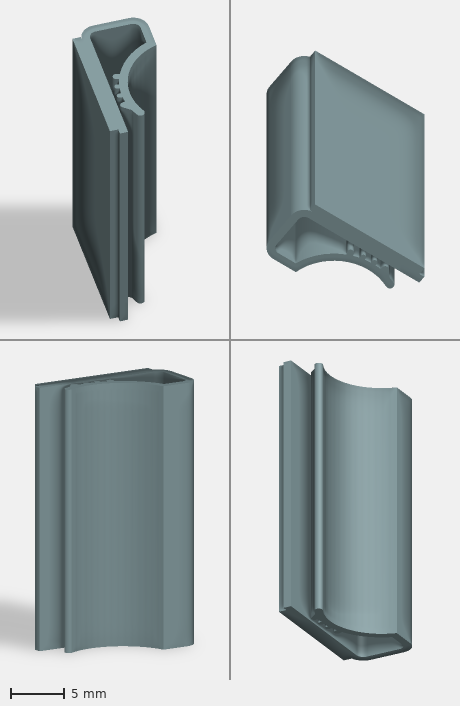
import cadquery as cq
import math

length = 25.4
base_width = 14.27
total_depth = 7.37
wall = 0.81
corner_radius = 1.52

pad_thickness = 0.81
pad_width = 12.6
pad_start = 1.12

clip_depth = total_depth - pad_thickness

arm_center_x = 9.5
arm_center_y = 7.95
arm_inner_radius = 5.55
arm_outer_radius = arm_inner_radius + wall
arm_middle_radius = arm_inner_radius + wall / 2
tip_angle = 26.7

large_rib_width = 0.65
large_rib_height = 0.64
small_rib_width = 0.53
small_rib_height = 0.48
left_rib_angle = -21.9
lead_rib_angle = 11.0
small_rib_angles = [-10.6, 0.0]
ramp_angle = 19.6


def arm_point(radius, angle):
    """Point at a radius and angle around the arm centre."""
    a = math.radians(angle)
    return (arm_center_x + radius * math.sin(a), arm_center_y - radius * math.cos(a))


def arm_angle_at(radius, y):
    """Angle at which an arm arc meets the level y, on the -X side."""
    return -math.degrees(math.acos((arm_center_y - y) / radius))


def make_channel():
    """U-shaped wall: base, back and short top flange leading into the arm."""
    inner_radius = corner_radius - wall
    inner_top = clip_depth - wall
    outer_root = arm_point(arm_inner_radius, arm_angle_at(arm_inner_radius, clip_depth))
    inner_root = arm_point(arm_outer_radius, arm_angle_at(arm_outer_radius, inner_top))
    return (
        cq.Workplane("XY")
        .moveTo(base_width, 0)
        .lineTo(corner_radius, 0)
        .radiusArc((0, corner_radius), corner_radius)
        .lineTo(0, clip_depth - corner_radius)
        .radiusArc((corner_radius, clip_depth), corner_radius)
        .lineTo(*outer_root)
        .lineTo(*inner_root)
        .lineTo(corner_radius, inner_top)
        .radiusArc((wall, inner_top - inner_radius), -inner_radius)
        .lineTo(wall, corner_radius)
        .radiusArc((corner_radius, wall), -inner_radius)
        .lineTo(base_width, wall)
        .close()
        .extrude(length)
    )


def make_arm():
    """Concentric arc strip ending in a full round tip."""
    inner_start = arm_angle_at(arm_inner_radius, clip_depth)
    outer_start = arm_angle_at(arm_outer_radius, clip_depth - wall)
    return (
        cq.Workplane("XY")
        .moveTo(*arm_point(arm_inner_radius, inner_start))
        .threePointArc(arm_point(arm_inner_radius, 0), arm_point(arm_inner_radius, tip_angle))
        .threePointArc(
            arm_point(arm_middle_radius, tip_angle + math.degrees(wall / 2 / arm_middle_radius)),
            arm_point(arm_outer_radius, tip_angle),
        )
        .threePointArc(arm_point(arm_outer_radius, 0), arm_point(arm_outer_radius, outer_start))
        .close()
        .extrude(length)
    )


def make_rib(angle, width, height):
    """Radial rib with a round tip, rooted in the middle of the arm."""
    half = width / 2
    root = -arm_middle_radius
    shoulder = -(arm_outer_radius + height - half)
    return (
        cq.Workplane("XY")
        .moveTo(-half, root)
        .lineTo(-half, shoulder)
        .threePointArc((0, shoulder - half), (half, shoulder))
        .lineTo(half, root)
        .close()
        .extrude(length)
        .rotate((0, 0, 0), (0, 0, 1), angle)
        .translate((arm_center_x, arm_center_y, 0))
    )


def make_lead_in():
    """Ramp from the arm underside, tangent to the round tip of the lead rib."""
    radius = large_rib_width / 2
    center = arm_point(arm_outer_radius + large_rib_height - radius, lead_rib_angle)
    ramp_end = arm_point(arm_outer_radius, ramp_angle)
    dx = ramp_end[0] - center[0]
    dy = ramp_end[1] - center[1]
    tangent_direction = math.atan2(dy, dx) - math.acos(radius / math.hypot(dx, dy))
    tangent_point = (
        center[0] + radius * math.cos(tangent_direction),
        center[1] + radius * math.sin(tangent_direction),
    )
    outline = [
        ramp_end,
        tangent_point,
        center,
        arm_point(arm_middle_radius, lead_rib_angle),
        arm_point(arm_middle_radius, ramp_angle),
    ]
    return cq.Workplane("XY").polyline(outline).close().extrude(length)


def make_clip():
    clip = make_channel().union(make_arm())
    for angle in [left_rib_angle, lead_rib_angle]:
        clip = clip.union(make_rib(angle, large_rib_width, large_rib_height))
    for angle in small_rib_angles:
        clip = clip.union(make_rib(angle, small_rib_width, small_rib_height))
    return clip.union(make_lead_in())


def make_pad():
    return (
        cq.Workplane("XY")
        .box(pad_width, pad_thickness, length, centered=False)
        .translate((pad_start, -pad_thickness, 0))
    )


clip = make_clip()
pad = make_pad()
result = cq.Compound.makeCompound([clip.solids().val(), pad.val()])